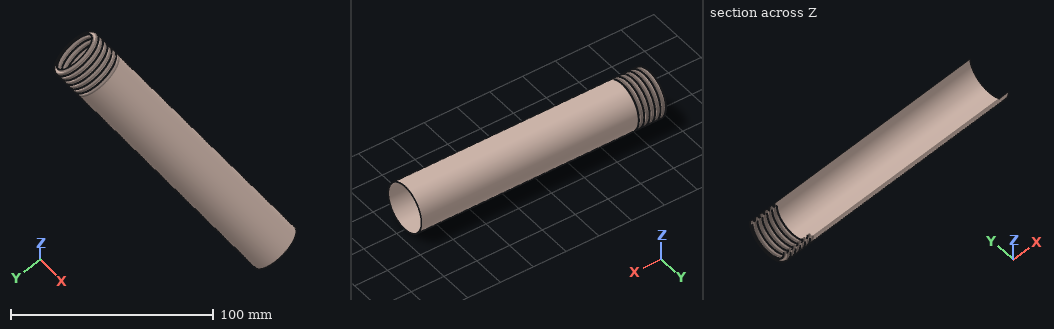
import cadquery as cq

total_length = 150.0
body_radius = 28.4 / 2
valley_radius = 23.8 / 2
wall = 0.4

ridge_count = 5
pitch = 3.3
valley_width = 1.18
end_lip_length = valley_width / 2

hollow_bend_radius = 0.2
swelling_bend_radius = 0.45


def add_rise(profile, x, low, high, valley_bend, crest_bend):
    """Run along a valley, then climb at x to the crest through two rounded corners."""
    return (
        profile.lineTo(x - valley_bend, low)
        .radiusArc((x, low + valley_bend), -valley_bend)
        .lineTo(x, high - crest_bend)
        .radiusArc((x + crest_bend, high), crest_bend)
    )


def add_fall(profile, x, low, high, valley_bend, crest_bend):
    """Run along a crest, then drop at x to the valley through two rounded corners."""
    return (
        profile.lineTo(x - crest_bend, high)
        .radiusArc((x, high - crest_bend), crest_bend)
        .lineTo(x, low + valley_bend)
        .radiusArc((x + valley_bend, low), -valley_bend)
    )


def corrugated_bar(depth, valley_bend, crest_bend):
    """Solid bar bounded by the wall surface lying at the given depth below the outside."""
    corner_sizes = (valley_radius - depth, body_radius - depth, valley_bend, crest_bend)
    profile = cq.Workplane("XY").lineTo(0, valley_radius - depth)
    for index in range(ridge_count):
        rise = end_lip_length + index * pitch
        fall = rise + pitch - valley_width
        profile = add_rise(profile, rise + depth, *corner_sizes)
        profile = add_fall(profile, fall - depth, *corner_sizes)
    body_start = end_lip_length + ridge_count * pitch
    profile = add_rise(profile, body_start + depth, *corner_sizes)
    profile = profile.lineTo(total_length, body_radius - depth).lineTo(total_length, 0).close()
    return profile.revolve(360, (0, 0, 0), (1, 0, 0))


outside = corrugated_bar(0, hollow_bend_radius, swelling_bend_radius)
bore = corrugated_bar(wall, swelling_bend_radius, hollow_bend_radius)
result = outside.cut(bore)